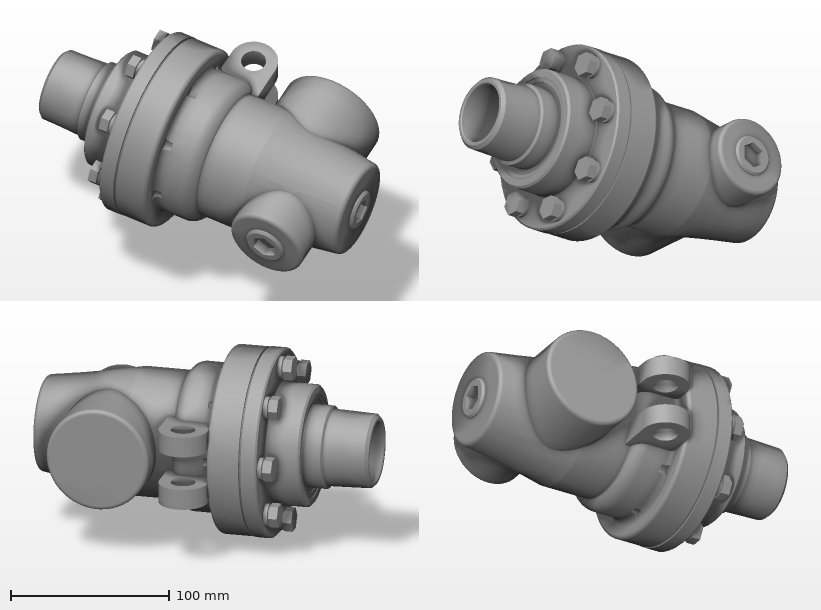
import cadquery as cq
import math


nose_chamfer_end = 2.2
nose_taper_end = 25.6
rotor_shoulder = 29.1
hub_front = 40.7
cover_front = 63.3
cover_back = 73.4
flange_front = 75.0
flange_back = 96.0
collar_round_start = 114.0
cone_start = 154.5
housing_end = 216.8
total_length = 219.0

nose_rim_radius = 43.1 / 2
nose_tip_radius = 23.7
nose_root_radius = 48.8 / 2
rotor_radius = 53.0 / 2
rotor_shoulder_length = 1.0
bore_diameter = 38.0
bore_end = flange_back
bore_chamfer = 0.7

hub_radius = 78.0 / 2
hub_chamfer = 1.3
hub_root_fillet = 0.9
seal_outer_diameter = 66.5
seal_inner_diameter = 60.2
seal_outer_depth = 0.9
seal_inner_depth = 1.8
cover_radius = 121.1 / 2
cover_chamfer = 1.0
gasket_radius = 58.7
flange_radius = 60.2
flange_fillet = 2.6
collar_radius = 47.7
collar_root_fillet = 3.0
collar_round = 9.2
barrel_radius = 41.2
cone_end_radius = 30.7
cone_sag = 0.7
end_fillet = 2.6

bolt_count = 8
bolt_circle_radius = 50.5
bolt_head_front = 54.0
bolt_head_length = 5.7
bolt_head_corners = 15.8
bolt_neck_diameter = 11.0
bolt_neck_length = 0.9
washer_diameter = 14.2
bolt_hole_diameter = 7.9
bolt_hole_end = 101.2

large_port_x = 166.7
large_port_diameter = 66.5
large_port_reach = 62.0
small_port_x = 177.6
small_port_diameter = 50.8
small_port_reach = 52.0
port_fillet = 2.6

plug_diameter = 26.3
plug_height = total_length - housing_end
plug_chamfer = 1.3
socket_flats = 15.0
socket_depth = 6.5

lug_width = 31.0
lug_hole_diameter = 15.8
lug_thickness = 13.1
lug_offset = 17.5
overall_width = 133.8
lug_tip_y = overall_width - cover_radius
lug_root_y = 33.5


def cylinder_x(diameter, start, end, y=0, z=0):
    """Cylinder parallel to the X axis between two X stations."""
    return cq.Workplane("YZ", origin=(start, y, z)).circle(diameter / 2).extrude(end - start)


def hexagon_corners(across_flats):
    return across_flats / math.cos(math.pi / 6)


def make_rotor():
    profile = (
        cq.Workplane("XY")
        .lineTo(0, nose_rim_radius)
        .lineTo(nose_chamfer_end, nose_tip_radius)
        .lineTo(nose_taper_end, nose_root_radius)
        .lineTo(rotor_shoulder, nose_root_radius)
        .lineTo(rotor_shoulder + rotor_shoulder_length, rotor_radius)
        .lineTo(cover_back, rotor_radius)
        .lineTo(cover_back, 0)
        .close()
    )
    return profile.revolve(360, (0, 0, 0), (1, 0, 0))


def make_cover():
    """Hub and bolted cover plate, with the gasket behind them."""
    hub_root = cover_front - hub_root_fillet
    arc_inset = hub_root_fillet * math.sqrt(0.5)
    profile = (
        cq.Workplane("XY")
        .moveTo(hub_front, 0)
        .lineTo(hub_front, hub_radius - hub_chamfer)
        .lineTo(hub_front + hub_chamfer, hub_radius)
        .lineTo(hub_root, hub_radius)
        .threePointArc(
            (hub_root + arc_inset, hub_radius + hub_root_fillet - arc_inset),
            (cover_front, hub_radius + hub_root_fillet),
        )
        .lineTo(cover_front, cover_radius - cover_chamfer)
        .lineTo(cover_front + cover_chamfer, cover_radius)
        .lineTo(cover_back, cover_radius)
        .lineTo(cover_back, gasket_radius)
        .lineTo(flange_front, gasket_radius)
        .lineTo(flange_front, 0)
        .close()
    )
    cover = profile.revolve(360, (0, 0, 0), (1, 0, 0))
    outer_recess = cylinder_x(seal_outer_diameter, hub_front, hub_front + seal_outer_depth)
    inner_recess = cylinder_x(seal_inner_diameter, hub_front, hub_front + seal_inner_depth)
    return cover.cut(outer_recess).cut(inner_recess)


def make_housing():
    """Flange, rounded collar, straight barrel and slightly hollow cone."""
    flange_arc = flange_fillet * (1 - math.sqrt(0.5))
    root_arc = collar_root_fillet * (1 - math.sqrt(0.5))

    round_centre = collar_radius - collar_round
    meet_angle = math.asin((barrel_radius - round_centre) / collar_round)
    middle_angle = (meet_angle + math.pi / 2) / 2

    def collar_point(angle):
        return (
            collar_round_start + collar_round * math.cos(angle),
            round_centre + collar_round * math.sin(angle),
        )

    cone_middle = ((cone_start + housing_end) / 2, (barrel_radius + cone_end_radius) / 2 - cone_sag)
    profile = (
        cq.Workplane("XY")
        .moveTo(flange_front, 0)
        .lineTo(flange_front, flange_radius)
        .lineTo(flange_back - flange_fillet, flange_radius)
        .threePointArc(
            (flange_back - flange_arc, flange_radius - flange_arc),
            (flange_back, flange_radius - flange_fillet),
        )
        .lineTo(flange_back, collar_radius + collar_root_fillet)
        .threePointArc(
            (flange_back + root_arc, collar_radius + root_arc),
            (flange_back + collar_root_fillet, collar_radius),
        )
        .lineTo(collar_round_start, collar_radius)
        .threePointArc(collar_point(middle_angle), collar_point(meet_angle))
        .lineTo(cone_start, barrel_radius)
        .threePointArc(cone_middle, (housing_end, cone_end_radius))
        .lineTo(housing_end, 0)
        .close()
    )
    housing = profile.revolve(360, (0, 0, 0), (1, 0, 0))
    return housing.faces(">X").edges().fillet(end_fillet)


def make_port(x, diameter, reach, direction):
    """Round boss from the axis out along +Y (direction 1) or -Y (direction -1)."""
    plane = cq.Plane(origin=(x, 0, 0), xDir=(1, 0, 0), normal=(0, direction, 0))
    port = cq.Workplane(plane).circle(diameter / 2).extrude(reach)
    return port.faces(">Y" if direction > 0 else "<Y").edges().fillet(port_fillet)


def add_plug(body, plane):
    """Raised chamfered plug with a hex socket, seated on the given plane."""
    plug = cq.Workplane(plane).circle(plug_diameter / 2).extrude(plug_height)
    plug = plug.faces(cq.DirectionMinMaxSelector(plane.zDir, True)).chamfer(plug_chamfer)
    socket = (
        cq.Workplane(plane)
        .workplane(offset=plug_height)
        .polygon(6, hexagon_corners(socket_flats))
        .extrude(-socket_depth)
    )
    return body.union(plug).cut(socket)


def make_lug(z_centre):
    """Flat lug with a round end and a lifting hole."""
    centre_x = flange_back + lug_width / 2
    centre_y = lug_tip_y - lug_width / 2
    return (
        cq.Workplane("XY", origin=(0, 0, z_centre - lug_thickness / 2))
        .moveTo(flange_back, lug_root_y)
        .lineTo(flange_back, centre_y)
        .threePointArc((centre_x, lug_tip_y), (flange_back + lug_width, centre_y))
        .lineTo(flange_back + lug_width, lug_root_y)
        .close()
        .moveTo(centre_x, centre_y)
        .circle(lug_hole_diameter / 2)
        .extrude(lug_thickness)
    )


def make_bolt(y, z):
    """Hex head on a short neck and a washer, with head corners pointing along Y."""
    head_back = bolt_head_front + bolt_head_length
    head = (
        cq.Workplane("YZ", origin=(bolt_head_front, y, z))
        .polygon(6, bolt_head_corners)
        .extrude(bolt_head_length)
    )
    washer_front = head_back + bolt_neck_length
    neck = cylinder_x(bolt_neck_diameter, head_back, washer_front, y, z)
    washer = cylinder_x(washer_diameter, washer_front, cover_front, y, z)
    return head.union(neck).union(washer)


result = make_cover().union(make_rotor()).union(make_housing())
result = result.union(make_port(large_port_x, large_port_diameter, large_port_reach, 1))
result = result.union(make_port(small_port_x, small_port_diameter, small_port_reach, -1))

for side in (-1, 1):
    result = result.union(make_lug(side * lug_offset))

for index in range(bolt_count):
    bolt_angle = 2 * math.pi * index / bolt_count
    bolt_y = bolt_circle_radius * math.cos(bolt_angle)
    bolt_z = bolt_circle_radius * math.sin(bolt_angle)
    result = result.union(make_bolt(bolt_y, bolt_z))
    result = result.cut(cylinder_x(bolt_hole_diameter, flange_back, bolt_hole_end, bolt_y, bolt_z))

small_port_face = cq.Plane(origin=(small_port_x, -small_port_reach, 0), xDir=(0, 0, 1), normal=(0, -1, 0))
housing_face = cq.Plane(origin=(housing_end, 0, 0), xDir=(0, 0, 1), normal=(1, 0, 0))
for seat in (small_port_face, housing_face):
    result = add_plug(result, seat)

bore = cylinder_x(bore_diameter, 0, bore_end)
bore_mouth = cq.Workplane("YZ").circle(bore_diameter / 2 + bore_chamfer).extrude(bore_chamfer, taper=45)
result = result.cut(bore).cut(bore_mouth)